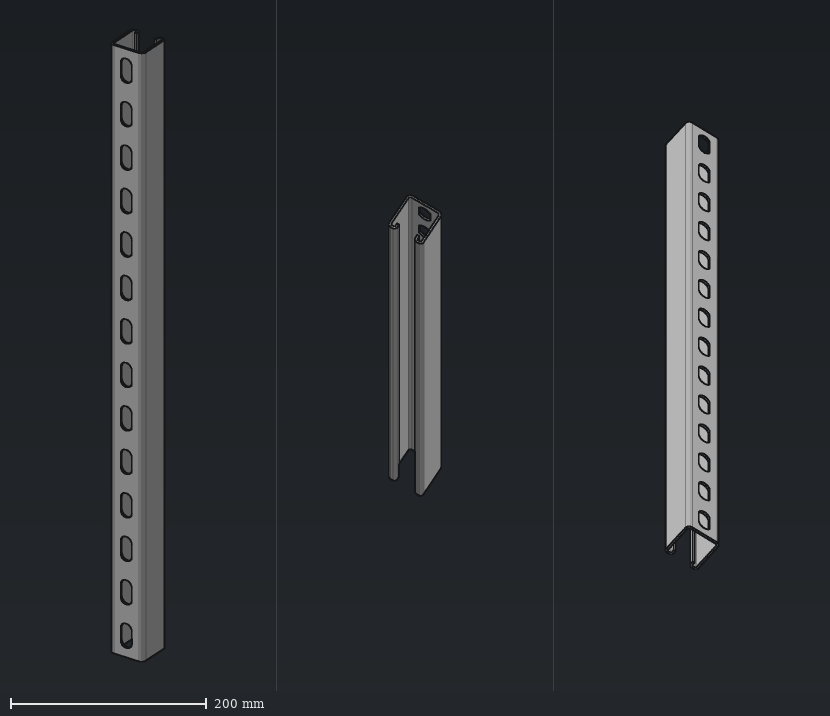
import cadquery as cq

length = 700.0
width = 41.0
depth = 41.0

thickness = 2.5
base_bend_radius = 5.0
lip_bend_radius = 3.5
opening = 22.0
lip_depth = 7.0

slot_count = 14
slot_length = 28.0
slot_width = 14.0
slot_pitch = length / slot_count


def rounded_bar(bar_width, bar_depth, bend_radius):
    """Full-length bar reaching from Y = 0 to +Y, with its two long edges at Y = 0 rounded."""
    bar = cq.Workplane("XY").box(bar_width, bar_depth, length, centered=(True, False, True))
    return bar.edges("|Z and <Y").fillet(bend_radius)


def bent_sheet(outer_width, leg_depth, bend_radius):
    """Sheet bent to a U: web at Y = 0, two equal legs toward +Y, concentric bends."""
    outside = rounded_bar(outer_width, leg_depth, bend_radius)
    inside = rounded_bar(outer_width - 2 * thickness, leg_depth, bend_radius - thickness)
    return outside.cut(inside.translate((0, thickness, 0)))


def channel_body():
    """Base on the -Y side with both walls, up to where the lip folds begin."""
    body = bent_sheet(width, depth - lip_depth, base_bend_radius)
    return body.translate((0, -depth / 2, 0))


def lip_fold(side):
    """Top of one wall folded back into the channel (side is -1 for -X, +1 for +X)."""
    fold_width = (width - opening) / 2
    fold = bent_sheet(fold_width, lip_depth, lip_bend_radius)
    fold = fold.rotate((0, 0, 0), (0, 0, 1), 180)
    return fold.translate((side * (width - fold_width) / 2, depth / 2, 0))


def base_slots():
    """Evenly spaced slots, elongated along the channel, through the base only."""
    return (
        cq.Workplane("XZ", origin=(0, -depth / 2, 0))
        .rarray(7, slot_pitch, 1, slot_count)
        .slot2D(slot_length, slot_width, 90)
        .extrude(-2 * thickness)
    )


channel = channel_body().union(lip_fold(-1)).union(lip_fold(1))
result = channel.clean().cut(base_slots())